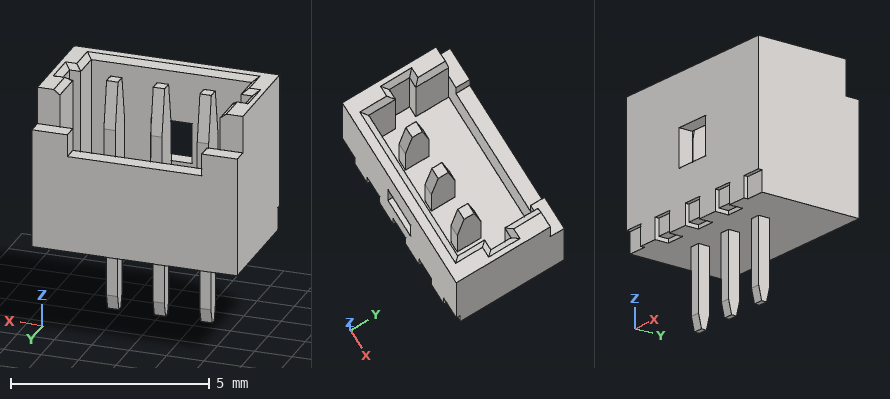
import cadquery as cq


width = 5.5
depth = 3.2
total_height = 6.5
tail_length = 2.28
height = total_height - tail_length
wall = 0.415
shoulder_drop = 1.0

cavity_width = 4.29
cavity_floor = 1.1
cavity_back = depth - wall
key_width = 4.89
key_front = 1.21
key_back = 1.81
lead_in = 0.16
lead_in_drop = 0.13

window_width = 1.09
window_floor = 1.625
window_top = 2.72
gap_width = 3.595
gap_floor = 2.62

pin_count = 3
pitch = 1.25
pin_width = 0.305
pin_y = 1.21
pin_top = 4.01
blade_shoulder = 2.76
blade_base = 0.7
blade_tip = 0.3
tail_thickness = 0.35
tail_tip = 0.16
tail_taper = 0.4

relief_height = 0.605
relief_depth = 0.12
corner_relief_width = 0.605
pin_relief_width = 0.585
channel_height = 0.12

pin_positions = [(i - (pin_count - 1) / 2) * pitch for i in range(pin_count)]


def block(x_middle, x_size, y_start, y_end, z_start, z_end):
    """Box centred on x_middle in X, with its Y and Z limits given."""
    box = cq.Workplane("XY").box(x_size, y_end - y_start, z_end - z_start, centered=(True, False, False))
    return box.translate((x_middle, y_start, z_start))


def flared_block(x_size, y_start, y_end):
    """Lead-in at the housing top: a rectangle that grows by lead_in on every side."""
    y_size = y_end - y_start
    return (
        cq.Workplane("XY", origin=(0, (y_start + y_end) / 2, height - lead_in_drop))
        .rect(x_size, y_size)
        .workplane(offset=lead_in_drop)
        .rect(x_size + 2 * lead_in, y_size + 2 * lead_in)
        .loft(ruled=True)
    )


def make_housing():
    """Stepped shell with a keyed cavity that is open at the top."""
    body = block(0, width, 0, depth, 0, height)
    body = body.cut(block(0, width, cavity_back, depth, height - shoulder_drop, height))

    body = body.cut(block(0, cavity_width, wall, cavity_back, cavity_floor, height))
    body = body.cut(block(0, key_width, key_front, key_back, cavity_floor, height))
    body = body.cut(flared_block(cavity_width, wall, cavity_back + lead_in))
    body = body.cut(flared_block(key_width, key_front, key_back))

    body = body.cut(block(0, window_width, 0, wall, window_floor, window_top))
    return body.cut(block(0, gap_width, cavity_back, depth, gap_floor, height))


def cut_reliefs(body):
    """Shallow pockets at the lower front edge, with a low channel running back from each pin pocket."""
    corner_x = (width - corner_relief_width) / 2
    for x in (-corner_x, corner_x):
        body = body.cut(block(x, corner_relief_width, 0, relief_depth, 0, relief_height))
    for x in pin_positions:
        body = body.cut(block(x, pin_relief_width, 0, relief_depth, 0, relief_height))
        body = body.cut(block(x, pin_relief_width, 0, wall, 0, channel_height))
    return body


def make_pin(x):
    """Flat pin: shouldered blade tapering to its top, on a narrower tail with a tapered end."""
    half_profile = [
        (tail_tip / 2, -tail_length),
        (tail_thickness / 2, tail_taper - tail_length),
        (tail_thickness / 2, cavity_floor),
        (blade_base / 2, cavity_floor),
        (blade_base / 2, blade_shoulder),
        (blade_tip / 2, pin_top),
    ]
    mirrored = [(-y, z) for y, z in reversed(half_profile)]
    pin = cq.Workplane("YZ").polyline(half_profile + mirrored).close().extrude(pin_width / 2, both=True)
    return pin.translate((x, pin_y, 0))


result = cut_reliefs(make_housing())
for pin_x in pin_positions:
    result = result.union(make_pin(pin_x))